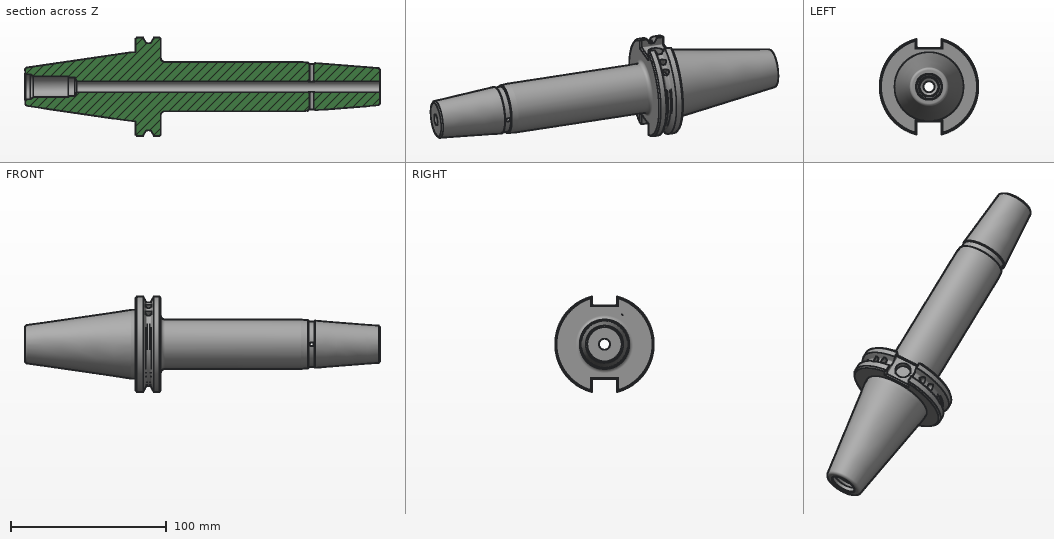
import cadquery as cq
import math

GAUGE_RADIUS = 44.45 / 2
TAPER_HALF_ANGLE = math.atan(7 / 48)
TAPER_LENGTH = 68.35
TAPER_TAIL_ROUND = 1.8

FLANGE_FRONT = 2.7
FLANGE_BACK = 19.1
FLANGE_RADIUS = 63.59 / 2
FLANGE_CHAMFER = 1.0
GROOVE_CENTER = 11.1
GROOVE_FLOOR_RADIUS = 56.25 / 2
GROOVE_MOUTH_WIDTH = 7.0
GROOVE_FLOOR_ROUND = 1.0
GROOVE_HALF_ANGLE = math.radians(30)

SLOT_WIDTH = 15.5
SLOT_RIM_CHAMFER = 0.35
SLOT_FLOOR_TOP = 25.0
SLOT_FLOOR_BOTTOM = 22.4
SLOT_FLOOR_ROUND = 0.5
SLOT_WALL_FLARE = 1.2
SLOT_FLOOR_FLARE = 0.7
CHIP_POCKET_DIAMETER = 10.0
CHIP_POCKET_DEPTH = 4.6

BALANCE_HOLE_DIAMETER = 4.2
BALANCE_HOLE_DEPTH = 6.0
BALANCE_HOLE_ANGLES = (30, 45, -30, -45)

NOSE_END = 160.0
SHANK_RADIUS = 16.0
SHANK_ROOT_ROUND = 2.5
NOSE_END_RADIUS = 12.0
NOSE_HALF_ANGLE = math.radians(4.5)
NOSE_CHAMFER = 1.0
SHANK_END = 109.2
BAND_START = 113.6
BAND_END = 118.3
BAND_DEPTH = 0.5
CROSS_HOLE_DIAMETER = 2.5
CROSS_HOLE_X = (BAND_START + BAND_END) / 2

MOUTH_CHAMFER = 0.6
PILOT_RADIUS = 7.9
PILOT_DEPTH = 3.5
PILOT_CONE_LENGTH = 2.0
THREAD_RADIUS = 6.6
THREAD_DEPTH = 28.0
TAP_DRILL_RADIUS = 5.9
TAP_DRILL_DEPTH = 32.0
COOLANT_RADIUS = 3.5
STEP_HALF_ANGLE = math.radians(60)


def taper_radius(x):
    return GAUGE_RADIUS + x * math.tan(TAPER_HALF_ANGLE)


def nose_radius(x):
    return NOSE_END_RADIUS + (NOSE_END - x) * math.tan(NOSE_HALF_ANGLE)


def revolve(outline):
    return outline.close().revolve(360, (0, 0, 0), (1, 0, 0))


def make_taper():
    tail = revolve(
        cq.Workplane("XY")
        .moveTo(-TAPER_LENGTH, 0)
        .lineTo(-TAPER_LENGTH, taper_radius(-TAPER_LENGTH))
        .lineTo(0, GAUGE_RADIUS)
        .lineTo(FLANGE_FRONT, GAUGE_RADIUS)
        .lineTo(FLANGE_FRONT, 0)
    )
    return tail.faces("<X").edges().fillet(TAPER_TAIL_ROUND)


def make_flange():
    half_mouth = GROOVE_MOUTH_WIDTH / 2
    half_corner = half_mouth - (FLANGE_RADIUS - GROOVE_FLOOR_RADIUS) * math.tan(GROOVE_HALF_ANGLE)
    round_length = GROOVE_FLOOR_ROUND * math.tan((math.pi / 2 - GROOVE_HALF_ANGLE) / 2)
    half_flat = half_corner - round_length
    half_round = half_corner + round_length * math.sin(GROOVE_HALF_ANGLE)
    round_top = GROOVE_FLOOR_RADIUS + round_length * math.cos(GROOVE_HALF_ANGLE)
    disc = (
        cq.Workplane("YZ", origin=(FLANGE_FRONT, 0, 0))
        .circle(FLANGE_RADIUS)
        .extrude(FLANGE_BACK - FLANGE_FRONT)
        .edges()
        .chamfer(FLANGE_CHAMFER)
    )
    groove = revolve(
        cq.Workplane("XY")
        .moveTo(GROOVE_CENTER - half_mouth, FLANGE_RADIUS)
        .lineTo(GROOVE_CENTER - half_round, round_top)
        .radiusArc((GROOVE_CENTER - half_flat, GROOVE_FLOOR_RADIUS), -GROOVE_FLOOR_ROUND)
        .lineTo(GROOVE_CENTER + half_flat, GROOVE_FLOOR_RADIUS)
        .radiusArc((GROOVE_CENTER + half_round, round_top), -GROOVE_FLOOR_ROUND)
        .lineTo(GROOVE_CENTER + half_mouth, FLANGE_RADIUS)
    )
    return disc.cut(groove)


def make_slot_flare(floor_height, face_x, inward):
    """Chamfer of a slot's walls and floor at one flange face; inward is +1 or -1 along X."""
    height = FLANGE_RADIUS - floor_height
    return (
        cq.Workplane("YZ", origin=(face_x, 0, 0))
        .center(0, floor_height + (height - SLOT_FLOOR_FLARE) / 2)
        .rect(SLOT_WIDTH + 2 * SLOT_WALL_FLARE, height + SLOT_FLOOR_FLARE)
        .workplane(offset=inward * SLOT_WALL_FLARE)
        .center(0, SLOT_FLOOR_FLARE / 2)
        .rect(SLOT_WIDTH, height)
        .loft(ruled=True)
    )


def make_slot(floor_height):
    """Cutter for a slot open towards +Z, with rounded floor corners and chamfered rims."""
    half_width = SLOT_WIDTH / 2
    half_rim = half_width + SLOT_RIM_CHAMFER
    rim_height = math.sqrt(FLANGE_RADIUS**2 - half_rim**2)
    slot = (
        cq.Workplane("YZ", origin=(FLANGE_FRONT, 0, 0))
        .moveTo(-half_width, floor_height)
        .lineTo(half_width, floor_height)
        .lineTo(half_width, rim_height - SLOT_RIM_CHAMFER)
        .lineTo(half_rim, rim_height)
        .lineTo(half_rim, FLANGE_RADIUS)
        .lineTo(-half_rim, FLANGE_RADIUS)
        .lineTo(-half_rim, rim_height)
        .lineTo(-half_width, rim_height - SLOT_RIM_CHAMFER)
        .close()
        .extrude(FLANGE_BACK - FLANGE_FRONT)
        .edges("|X and <Z")
        .fillet(SLOT_FLOOR_ROUND)
    )
    slot = slot.union(make_slot_flare(floor_height, FLANGE_FRONT, 1))
    return slot.union(make_slot_flare(floor_height, FLANGE_BACK, -1))


def make_shank():
    band_radius = nose_radius(BAND_END) - BAND_DEPTH
    blend_edge = FLANGE_BACK + SHANK_ROOT_ROUND
    outline = (
        cq.Workplane("XY")
        .moveTo(FLANGE_FRONT, 0)
        .lineTo(FLANGE_FRONT, SHANK_RADIUS + SHANK_ROOT_ROUND)
        .lineTo(FLANGE_BACK, SHANK_RADIUS + SHANK_ROOT_ROUND)
        .radiusArc((blend_edge, SHANK_RADIUS), -SHANK_ROOT_ROUND)
        .lineTo(SHANK_END, SHANK_RADIUS)
        .lineTo(BAND_START, nose_radius(BAND_START))
        .lineTo(BAND_START + BAND_DEPTH, band_radius)
        .lineTo(BAND_END - BAND_DEPTH, band_radius)
        .lineTo(BAND_END, nose_radius(BAND_END))
        .lineTo(NOSE_END, NOSE_END_RADIUS)
        .lineTo(NOSE_END, 0)
    )
    return revolve(outline).faces(">X").edges().chamfer(NOSE_CHAMFER)


def make_bore():
    tail = -TAPER_LENGTH
    tap_drill_end = tail + TAP_DRILL_DEPTH
    cone_end = tap_drill_end + (TAP_DRILL_RADIUS - COOLANT_RADIUS) / math.tan(STEP_HALF_ANGLE)
    return revolve(
        cq.Workplane("XY")
        .moveTo(tail, 0)
        .lineTo(tail, PILOT_RADIUS + MOUTH_CHAMFER)
        .lineTo(tail + MOUTH_CHAMFER, PILOT_RADIUS)
        .lineTo(tail + PILOT_DEPTH, PILOT_RADIUS)
        .lineTo(tail + PILOT_DEPTH + PILOT_CONE_LENGTH, THREAD_RADIUS)
        .lineTo(tail + THREAD_DEPTH, THREAD_RADIUS)
        .lineTo(tail + THREAD_DEPTH, TAP_DRILL_RADIUS)
        .lineTo(tap_drill_end, TAP_DRILL_RADIUS)
        .lineTo(cone_end, COOLANT_RADIUS)
        .lineTo(NOSE_END, COOLANT_RADIUS)
        .lineTo(NOSE_END, 0)
    )


def make_chip_pocket():
    return (
        cq.Workplane("XY", origin=(GROOVE_CENTER, 0, SLOT_FLOOR_TOP))
        .circle(CHIP_POCKET_DIAMETER / 2)
        .extrude(-CHIP_POCKET_DEPTH)
    )


def make_balance_hole(angle):
    """Radial hole at an angle in degrees from +Z, turned about the X axis."""
    return (
        cq.Workplane("XY", origin=(GROOVE_CENTER, 0, GROOVE_FLOOR_RADIUS - BALANCE_HOLE_DEPTH))
        .circle(BALANCE_HOLE_DIAMETER / 2)
        .extrude(FLANGE_RADIUS - GROOVE_FLOOR_RADIUS + BALANCE_HOLE_DEPTH)
        .rotate((0, 0, 0), (1, 0, 0), angle)
    )


def make_cross_hole():
    return (
        cq.Workplane("XZ", origin=(CROSS_HOLE_X, 0, 0))
        .circle(CROSS_HOLE_DIAMETER / 2)
        .extrude(SHANK_RADIUS, both=True)
    )


flange = make_flange()
flange = flange.cut(make_slot(SLOT_FLOOR_TOP))
flange = flange.cut(make_slot(SLOT_FLOOR_BOTTOM).mirror("XY"))
flange = flange.cut(make_chip_pocket())
for hole_angle in BALANCE_HOLE_ANGLES:
    flange = flange.cut(make_balance_hole(hole_angle))

result = make_taper().union(flange).union(make_shank())
result = result.cut(make_bore()).cut(make_cross_hole())